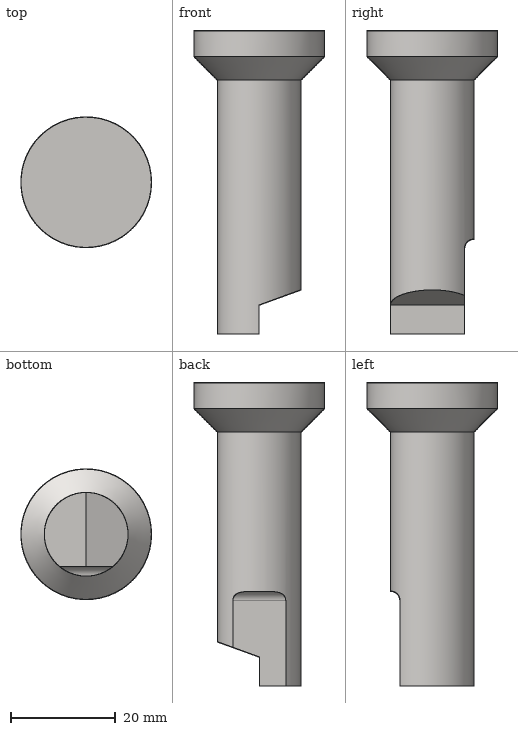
import cadquery as cq
import math

total_length = 58.0
head_diameter = 25.0
shank_diameter = 16.0
head_rim_height = 5.0
step_height = 5.5
ramp_angle = 20.0
flat_depth = 1.8
flat_top = 18.1
runout_radius = 1.75
clearance = 2.9

head_radius = head_diameter / 2
shank_radius = shank_diameter / 2
cutter_reach = shank_radius + clearance
rim_bottom = total_length - head_rim_height
cone_bottom = rim_bottom - (head_radius - shank_radius)


def make_pin():
    """Round shank with a conical underhead and a cylindrical rim."""
    return (
        cq.Workplane("XZ")
        .lineTo(shank_radius, 0)
        .lineTo(shank_radius, cone_bottom)
        .lineTo(head_radius, rim_bottom)
        .lineTo(head_radius, total_length)
        .lineTo(0, total_length)
        .close()
        .revolve(360, (0, 0, 0), (0, 1, 0))
    )


def make_step_cutter():
    """Removes the +X half of the tip below a sloped roof."""
    outer_height = step_height + cutter_reach * math.tan(math.radians(ramp_angle))
    return (
        cq.Workplane("XZ")
        .moveTo(0, -clearance)
        .lineTo(cutter_reach, -clearance)
        .lineTo(cutter_reach, outer_height)
        .lineTo(0, step_height)
        .close()
        .extrude(cutter_reach, both=True)
    )


def make_flat_cutter():
    """Removes a flat from the +Y side, rounded at its upper end."""
    flat_y = shank_radius - flat_depth
    arc_center_y = flat_y + runout_radius
    arc_center_z = flat_top - runout_radius
    arc_offset = runout_radius * math.sqrt(0.5)
    arc_middle = (arc_center_y - arc_offset, arc_center_z + arc_offset)
    return (
        cq.Workplane("YZ")
        .moveTo(flat_y, -clearance)
        .lineTo(flat_y, arc_center_z)
        .threePointArc(arc_middle, (arc_center_y, flat_top))
        .lineTo(cutter_reach, flat_top)
        .lineTo(cutter_reach, -clearance)
        .close()
        .extrude(cutter_reach, both=True)
    )


result = make_pin().cut(make_step_cutter()).cut(make_flat_cutter())